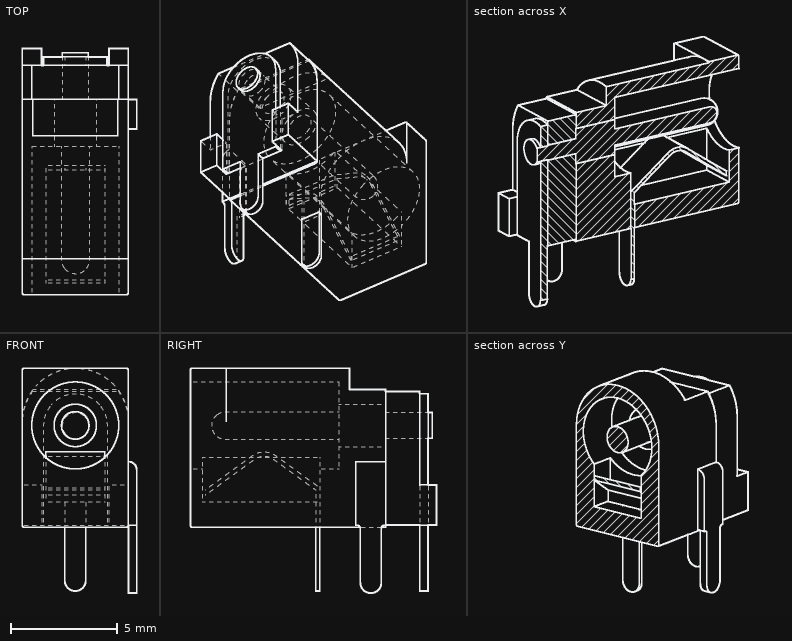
import cadquery as cq
import math


body_width = 5.0
body_height = 7.5
housing_length = 9.2
flange_length = 1.7
edge_fillet = 0.1
dome_radius = body_width / 2
dome_centre_z = body_height - dome_radius
step_start_y = 7.5
step_z = 6.5

bore_diameter = 4.1
bore_depth = 7.0
axis_z = 4.8

pin_diameter = 1.3
pin_tip_y = 1.0
shoulder_diameter = 2.0
rivet_diameter = 1.23
rivet_end_y = 11.4

cover_end_y = 10.8
cover_bottom_z = 0.1
cover_top_z = 6.4
cover_dome_centre_z = 4.95
foot_end_y = 11.6
foot_top_z = 2.0
foot_gap = 3.16

leg_radius = 0.5
leg_bottom_z = -3.0

rear_thickness = 0.4
rear_plate_width = 3.0
rear_end_y = cover_end_y + rear_thickness

side_thickness = 0.4
side_plate_width = 1.4
side_centre_y = 8.5
side_top_z = 3.1
side_ledge_z = 0.1
side_fillet = 0.14
side_bottom_z = -3.1

spring_thickness = 0.2
spring_width = 2.76
spring_top_z = 3.56
spring_back_y = 6.1
spring_front_y = 0.7
ramp_angle = math.radians(36)
crest_radius = 0.95
crest_y = 3.46

pocket_width = 2.8
pocket_front_y = 0.57
pocket_floor_z = 1.2
pocket_top_z = axis_z - math.sqrt((bore_diameter / 2) ** 2 - (pocket_width / 2) ** 2)


def box(x_range, y_range, z_range):
    """Box spanning the given (low, high) ranges."""
    lows, highs = zip(x_range, y_range, z_range)
    sizes = [high - low for low, high in zip(lows, highs)]
    return cq.Workplane("XY").box(*sizes, centered=False).translate(lows)


def centred(width):
    """Range of the given width about zero."""
    return (-width / 2, width / 2)


def y_cylinder(diameter, y_start, y_end):
    """Cylinder on the plug axis."""
    plane = cq.Workplane("XZ", origin=(0, y_start, axis_z))
    return plane.circle(diameter / 2).extrude(y_start - y_end)


def domed_block(y_start, y_end, bottom_z, centre_z):
    """Straight-sided block of the body width with a half-round top."""
    return (
        cq.Workplane("XZ", origin=(0, y_start, 0))
        .moveTo(-dome_radius, bottom_z)
        .lineTo(-dome_radius, centre_z)
        .threePointArc((0, centre_z + dome_radius), (dome_radius, centre_z))
        .lineTo(dome_radius, bottom_z)
        .close()
        .extrude(y_start - y_end)
    )


def polar(centre, radius, angle):
    """Point at an angle from the upward direction, turning towards the front."""
    return (centre[0] - radius * math.sin(angle), centre[1] + radius * math.cos(angle))


def make_pin():
    """Ball-ended pin with a shoulder in the bore's end wall and a riveted tail."""
    ball_radius = pin_diameter / 2
    ball_y = pin_tip_y + ball_radius
    ball = cq.Workplane("XZ", origin=(0, ball_y, axis_z)).sphere(ball_radius)
    shank = y_cylinder(pin_diameter, ball_y, bore_depth)
    shoulder = y_cylinder(shoulder_diameter, bore_depth, housing_length)
    tail = y_cylinder(rivet_diameter, housing_length, rivet_end_y)
    return ball.union(shank).union(shoulder).union(tail)


def solder_leg(plane, top_z, bottom_z, thickness):
    """Leg with a full-round lower end, extruded from a plane whose local axes are across and up."""
    arc_z = bottom_z + leg_radius
    return (
        plane.moveTo(-leg_radius, top_z)
        .lineTo(-leg_radius, arc_z)
        .threePointArc((0, bottom_z), (leg_radius, arc_z))
        .lineTo(leg_radius, top_z)
        .close()
        .extrude(thickness)
    )


def make_rear_terminal():
    """Plate with a round top around the rivet, narrowing to a solder leg."""
    plate = box(centred(rear_plate_width), (cover_end_y, rear_end_y), (cover_bottom_z, axis_z))
    round_top = y_cylinder(rear_plate_width, cover_end_y, rear_end_y)
    plane = cq.Workplane("XZ", origin=(0, rear_end_y, 0))
    leg = solder_leg(plane, axis_z, leg_bottom_z, rear_thickness)
    rivet_hole = y_cylinder(rivet_diameter, cover_end_y, rear_end_y)
    return plate.union(round_top).union(leg).cut(rivet_hole)


def make_side_terminal():
    """Plate on the +X wall with a rounded top edge, narrowing through fillets to a solder leg."""
    wall_x = body_width / 2
    half_width = side_plate_width / 2
    arc_z = side_bottom_z + leg_radius
    fillet_y = leg_radius + side_fillet
    fillet_z = side_ledge_z - side_fillet
    face_outline = (
        cq.Workplane("YZ", origin=(wall_x, side_centre_y, 0))
        .moveTo(-half_width, side_top_z)
        .lineTo(-half_width, side_ledge_z)
        .lineTo(-fillet_y, side_ledge_z)
        .radiusArc((-leg_radius, fillet_z), side_fillet)
        .lineTo(-leg_radius, arc_z)
        .threePointArc((0, side_bottom_z), (leg_radius, arc_z))
        .lineTo(leg_radius, fillet_z)
        .radiusArc((fillet_y, side_ledge_z), side_fillet)
        .lineTo(half_width, side_ledge_z)
        .lineTo(half_width, side_top_z)
        .close()
        .extrude(side_thickness)
    )
    outer_x = wall_x + side_thickness
    edge_outline = (
        cq.Workplane("XZ", origin=(0, side_centre_y + half_width, 0))
        .moveTo(wall_x, side_bottom_z)
        .lineTo(wall_x, side_top_z)
        .radiusArc((outer_x, side_top_z - side_thickness), side_thickness)
        .lineTo(outer_x, side_bottom_z)
        .close()
        .extrude(side_plate_width)
    )
    return face_outline.intersect(edge_outline)


def make_spring():
    """Strip rising over a crest in the bore and falling behind it to a solder leg."""
    centre = (crest_y, spring_top_z - crest_radius)
    inner_radius = crest_radius - spring_thickness
    leg_front_y = spring_back_y - spring_thickness
    ramp_slope = math.tan(ramp_angle)

    def ramp_z(radius, y):
        """Height at y of the front or rear ramp tangent to the crest arc of this radius."""
        end_y, end_z = polar(centre, radius, ramp_angle)
        return end_z - ramp_slope * (abs(y - crest_y) - abs(end_y - crest_y))

    strip = (
        cq.Workplane("YZ", origin=(-spring_width / 2, 0, 0))
        .moveTo(spring_front_y, ramp_z(crest_radius, spring_front_y))
        .lineTo(*polar(centre, crest_radius, ramp_angle))
        .threePointArc((crest_y, spring_top_z), polar(centre, crest_radius, -ramp_angle))
        .lineTo(spring_back_y, ramp_z(crest_radius, spring_back_y))
        .lineTo(spring_back_y, pocket_floor_z)
        .lineTo(leg_front_y, pocket_floor_z)
        .lineTo(leg_front_y, ramp_z(inner_radius, leg_front_y))
        .lineTo(*polar(centre, inner_radius, -ramp_angle))
        .threePointArc(polar(centre, inner_radius, 0), polar(centre, inner_radius, ramp_angle))
        .lineTo(spring_front_y, ramp_z(inner_radius, spring_front_y))
        .close()
        .extrude(spring_width)
    )
    plane = cq.Workplane("XZ", origin=(0, spring_back_y, 0))
    return strip.union(solder_leg(plane, pocket_floor_z, leg_bottom_z, spring_thickness))


def make_housing():
    """Domed body behind a square flange, with the plug bore and the spring pocket."""
    flange = box(centred(body_width), (0, flange_length), (0, body_height))
    domed_body = domed_block(flange_length, housing_length, 0, dome_centre_z)
    step = box(centred(body_width), (step_start_y, housing_length), (step_z, body_height))

    flange = flange.faces("<Y").edges().add(flange.edges("|Y")).fillet(edge_fillet)
    domed_body = domed_body.faces("<Z").edges("|Y").fillet(edge_fillet)

    spring_pocket = box(
        centred(pocket_width), (pocket_front_y, spring_back_y), (pocket_floor_z, pocket_top_z)
    )
    housing = flange.union(domed_body).cut(step)
    housing = housing.cut(y_cylinder(bore_diameter, 0, bore_depth)).cut(spring_pocket)
    shoulder_hole = y_cylinder(shoulder_diameter, bore_depth, housing_length)
    leg_front_y = spring_back_y - spring_thickness
    leg_slot = box(centred(2 * leg_radius), (leg_front_y, spring_back_y), (0, pocket_floor_z))
    return housing.cut(shoulder_hole).cut(leg_slot)


def make_rear_cover():
    """Flat-topped block closing the housing, with two feet beside the rear terminal."""
    cover = domed_block(housing_length, cover_end_y, cover_bottom_z, cover_dome_centre_z)
    cover = cover.intersect(
        box(centred(body_width), (housing_length, cover_end_y), (cover_bottom_z, cover_top_z))
    )
    feet = box(centred(body_width), (cover_end_y, foot_end_y), (cover_bottom_z, foot_top_z))
    gap = box(centred(foot_gap), (cover_end_y, foot_end_y), (cover_bottom_z, foot_top_z))
    rivet_hole = y_cylinder(rivet_diameter, housing_length, cover_end_y)
    return cover.union(feet.cut(gap)).cut(rivet_hole)


housing = make_housing()
rear_cover = make_rear_cover()
pin = make_pin()
rear_terminal = make_rear_terminal()
side_terminal = make_side_terminal()
spring = make_spring()

result = cq.Compound.makeCompound(
    [
        housing.val(),
        rear_cover.val(),
        pin.val(),
        rear_terminal.val(),
        side_terminal.val(),
        spring.val(),
    ]
)